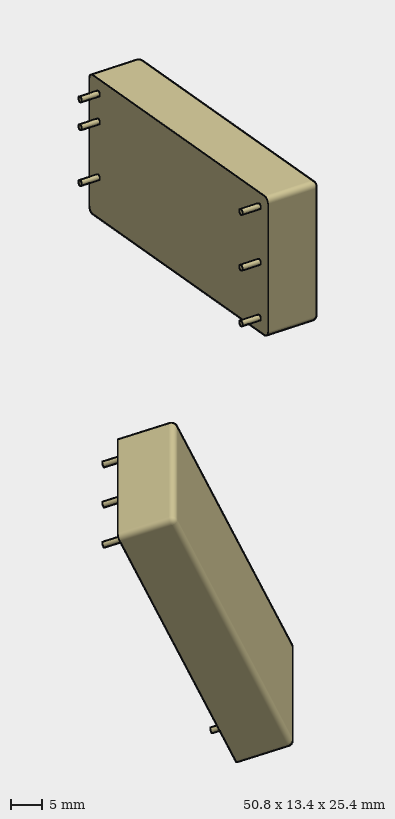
import cadquery as cq

case_length = 50.8
case_height = 25.4
total_depth = 13.4
pin_length = 3.5
case_depth = total_depth - pin_length
edge_radius = 1.0

pin_diameter = 1.0
pin_column_x = 22.85
pin_pitch = 5.1
left_column_drop = 0.15
left_pin_steps = (2, 1, -1)
right_pin_steps = (2, 0, -2)


def make_case():
    """Block from the pin face at Y = 0 to the back, rounded except around the pin face."""
    block = cq.Workplane("XY").box(case_length, case_depth, case_height)
    block = block.translate((0, case_depth / 2, 0))
    return block.edges("|Y or >Y").fillet(edge_radius)


def make_pins():
    """Round pins standing out of the pin face toward -Y."""
    left = [(-pin_column_x, step * pin_pitch - left_column_drop) for step in left_pin_steps]
    right = [(pin_column_x, step * pin_pitch) for step in right_pin_steps]
    return cq.Workplane("XZ").pushPoints(left + right).circle(pin_diameter / 2).extrude(pin_length)


result = make_case().union(make_pins())